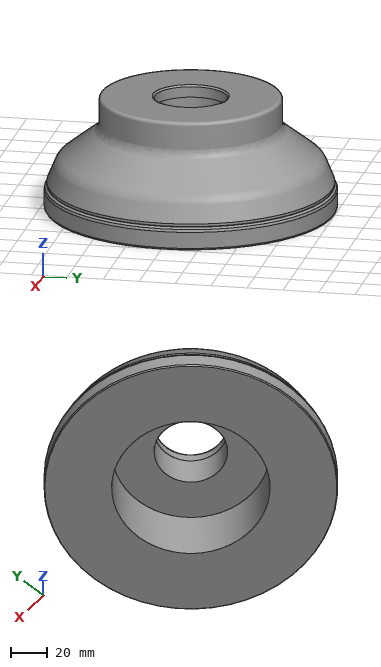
import cadquery as cq
import math

height = 63.0
rim_radius = 80.0
bore_radius = 20.0
bore_chamfer = 1.0

neck_radius = 50.0
neck_base_z = 45.0
neck_top_fillet = 2.0
neck_base_fillet = 5.6
shoulder_radius = 73.5
shoulder_z = 26.9
shoulder_fillet = 9.6
skirt_radius = 78.5
skirt_land_z = 14.4
shell_bottom_z = 12.5
skirt_undercut = 0.5

wall = 6.9
rim_straight_z = 10.0
rim_bevel_z = 11.5
rim_bevel_radius = 79.5
rim_bottom_chamfer_height = 1.0
rim_bottom_chamfer_width = 0.5
recess_top_z = 35.4

cone_angle = math.atan2(shoulder_radius - neck_radius, neck_base_z - shoulder_z)
skirt_angle = math.atan2(skirt_radius - shoulder_radius, shoulder_z - skirt_land_z)

core_neck_radius = neck_radius - wall
recess_radius = core_neck_radius
core_top_z = height - wall
core_neck_base_z = neck_base_z - wall * math.tan(cone_angle / 2)
half_bend = (cone_angle - skirt_angle) / 2
mean_angle = (cone_angle + skirt_angle) / 2
corner_offset = wall / math.cos(half_bend)
core_shoulder_radius = shoulder_radius - corner_offset * math.cos(mean_angle)
core_shoulder_z = shoulder_z - corner_offset * math.sin(mean_angle)
core_skirt_radius = core_shoulder_radius + (core_shoulder_z - shell_bottom_z) * math.tan(skirt_angle)


def revolve_profile(points):
    """Revolve a closed (radius, z) outline about the Z axis."""
    return cq.Workplane("XZ").polyline(points).close().revolve(360, (0, 0), (0, 1))


def circle_edge(body, radius, z):
    """Select the circular edge of the given radius and height."""
    tolerance = 0.02
    box = cq.selectors.BoxSelector(
        (-radius - tolerance, -radius - tolerance, z - tolerance),
        (radius + tolerance, radius + tolerance, z + tolerance),
        boundingbox=True,
    )
    return body.edges(box).edges(cq.selectors.RadiusNthSelector(-1))


def make_shell():
    """Flared cup with a bored top, open underneath for the core."""
    shell = revolve_profile([
        (bore_radius, core_top_z),
        (bore_radius, height - bore_chamfer),
        (bore_radius + bore_chamfer, height),
        (neck_radius, height),
        (neck_radius, neck_base_z),
        (shoulder_radius, shoulder_z),
        (skirt_radius, skirt_land_z),
        (skirt_radius, shell_bottom_z + skirt_undercut),
        (skirt_radius - skirt_undercut, shell_bottom_z),
        (core_skirt_radius, shell_bottom_z),
        (core_shoulder_radius, core_shoulder_z),
        (core_neck_radius, core_neck_base_z),
        (core_neck_radius, core_top_z),
    ])
    shell = circle_edge(shell, neck_radius, height).fillet(neck_top_fillet)
    shell = circle_edge(shell, neck_radius, neck_base_z).fillet(neck_base_fillet)
    return circle_edge(shell, shoulder_radius, shoulder_z).fillet(shoulder_fillet)


def make_core():
    """Core inside the shell, bored into a round recess, with a bevelled rim below the shell."""
    return revolve_profile([
        (bore_radius, recess_top_z),
        (recess_radius, recess_top_z),
        (recess_radius, 0),
        (rim_radius - rim_bottom_chamfer_width, 0),
        (rim_radius, rim_bottom_chamfer_height),
        (rim_radius, rim_straight_z),
        (rim_bevel_radius, rim_bevel_z),
        (skirt_radius - skirt_undercut, shell_bottom_z),
        (core_skirt_radius, shell_bottom_z),
        (core_shoulder_radius, core_shoulder_z),
        (core_neck_radius, core_neck_base_z),
        (core_neck_radius, core_top_z),
        (bore_radius, core_top_z),
    ])


shell = make_shell()
core = make_core()
result = cq.Compound.makeCompound([shell.val(), core.val()])